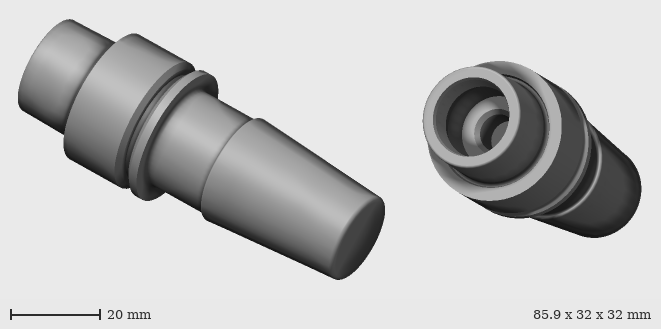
import cadquery as cq
import math

total_length = 85.9
undercut_start = 14.9
flange_face = 15.8
groove_start = 30.9
groove_end = 32.7
flange_end = 35.8
collar_start = 50.7
cavity_start = 6.3
cavity_end = 11.6
bore_floor = 17.2
pocket_floor = 25.8

taper_tip_radius = 11.7
taper_root_radius = 12.0
undercut_radius = 11.9
relief_inner_radius = 12.7
relief_outer_radius = 13.05
flange_radius = 16.02
groove_radius = 13.3
shank_radius = 12.0
nose_radius = 10.6

bore_mouth_radius = 9.1
bore_lead_radius = 8.8
bore_radius = 8.25
cavity_radius = 9.6
pocket_mouth_radius = 5.3
pocket_radius = 4.3

tip_round = 0.5
undercut_ramp = 0.4
relief_floor = flange_face + 0.8
relief_fillet = 0.6
groove_chamfer = 1.1
groove_chamfer_height = 1.3
shank_fillet = 0.95
collar_round = 0.5
nose_round = 1.0
bore_chamfer = 1.0
pocket_chamfer = pocket_mouth_radius - pocket_radius

DIAGONAL = math.sqrt(0.5)


def quarter_round(profile, corner, size, convex):
    """Add a quarter arc that rises by size in both X and radius from corner."""
    x, radius = corner
    if convex:
        middle = (x + size * (1 - DIAGONAL), radius + size * DIAGONAL)
    else:
        middle = (x + size * DIAGONAL, radius + size * (1 - DIAGONAL))
    return profile.threePointArc(middle, (x + size, radius + size))


def revolve_about_x(profile):
    return profile.close().revolve(360, (0, 0, 0), (1, 0, 0))


def make_body():
    """Solid of revolution: hollow-shank taper, grooved flange, shank and tapered nose."""
    profile = cq.Workplane("XY").lineTo(0, taper_tip_radius - tip_round)
    profile = quarter_round(profile, (0, taper_tip_radius - tip_round), tip_round, True)

    profile = (
        profile.lineTo(undercut_start, taper_root_radius)
        .lineTo(undercut_start + undercut_ramp, undercut_radius)
        .lineTo(relief_floor - relief_fillet, undercut_radius)
    )
    fillet_start = (relief_floor - relief_fillet, undercut_radius)
    profile = quarter_round(profile, fillet_start, relief_fillet, False)
    profile = profile.lineTo(relief_floor, relief_inner_radius).lineTo(flange_face, relief_outer_radius)

    chamfer_radius = flange_radius - groove_chamfer_height
    profile = (
        profile.lineTo(flange_face, flange_radius)
        .lineTo(groove_start - groove_chamfer, flange_radius)
        .lineTo(groove_start, chamfer_radius)
        .lineTo(groove_start, groove_radius)
        .lineTo(groove_end, groove_radius)
        .lineTo(groove_end, chamfer_radius)
        .lineTo(groove_end + groove_chamfer, flange_radius)
        .lineTo(flange_end, flange_radius)
    )

    profile = (
        profile.lineTo(flange_end, shank_radius + shank_fillet)
        .threePointArc(
            (
                flange_end + shank_fillet * (1 - DIAGONAL),
                shank_radius + shank_fillet * (1 - DIAGONAL),
            ),
            (flange_end + shank_fillet, shank_radius),
        )
        .lineTo(collar_start, shank_radius)
    )
    profile = quarter_round(profile, (collar_start, shank_radius), collar_round, False)
    step = (collar_start + collar_round, shank_radius + collar_round)
    profile = quarter_round(profile, step, collar_round, True)

    profile = (
        profile.lineTo(total_length - nose_round, nose_radius)
        .threePointArc(
            (
                total_length - nose_round * (1 - DIAGONAL),
                nose_radius - nose_round * (1 - DIAGONAL),
            ),
            (total_length, nose_radius - nose_round),
        )
        .lineTo(total_length, 0)
    )
    return revolve_about_x(profile)


def make_bore():
    """Chamfered bore with a wider internal cavity that tapers to its floor, and a blind center pocket."""
    profile = (
        cq.Workplane("XY")
        .lineTo(0, bore_mouth_radius)
        .lineTo(bore_chamfer, bore_lead_radius)
        .lineTo(cavity_start, bore_radius)
        .lineTo(cavity_start, cavity_radius)
        .lineTo(cavity_end, cavity_radius)
        .lineTo(bore_floor, bore_radius)
        .lineTo(bore_floor, pocket_mouth_radius)
        .lineTo(bore_floor + pocket_chamfer, pocket_radius)
        .lineTo(pocket_floor, pocket_radius)
        .lineTo(pocket_floor, 0)
    )
    return revolve_about_x(profile)


result = make_body().cut(make_bore())